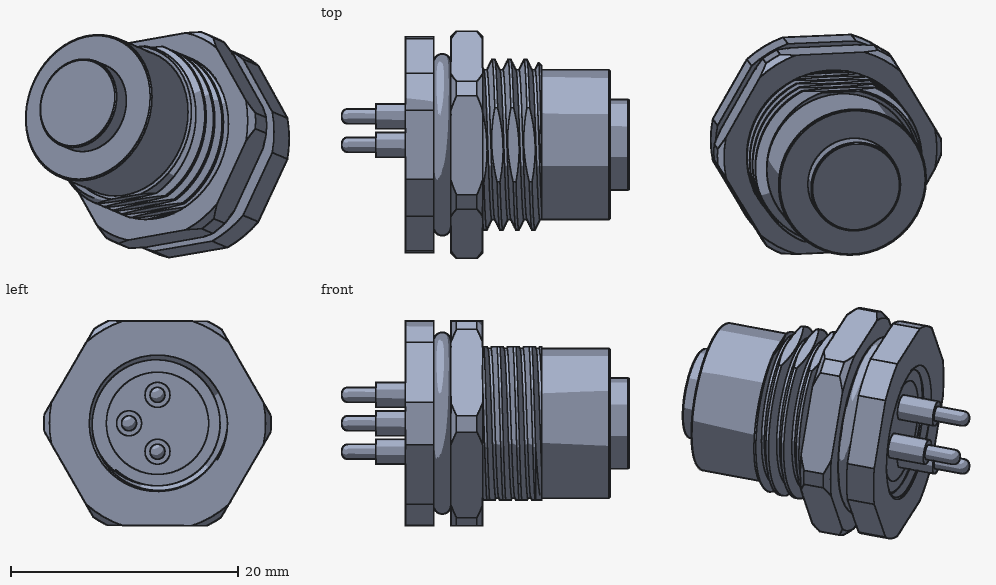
import cadquery as cq
import math


axis_direction = cq.Vector(1, 0, 0)

flange_thickness = 2.5
ring_wire_diameter = 1.5
nut_thickness = 2.8
nut_rear = flange_thickness + ring_wire_diameter
housing_front = 12.0
sleeve_front = 18.0
insert_front = 19.7
backing_face = 0.66
insert_shoulder = housing_front

hex_across_flats = 18.0
flange_corner_radius = 9.5
nut_corner_radius = 10.0
nut_corner_chamfer = 0.5
nut_turn = 0.25

thread_crest_radius = 7.5
thread_root_radius = 6.6
thread_pitch = 25.4 / 18
thread_crest_width = 0.25
thread_root_width = 0.27
thread_flats_apart = 13.5
thread_crest_station = 7.74
thread_end_chamfer = 0.55
helix_guide_radius = thread_root_radius
thread_root_overlap = 0.1

bore_radius = 5.5
bore_mouth_radius = 6.0
groove_radius = 6.16
groove_pitch = 1.0
groove_included_angle = 60.0
groove_inner_radius = 5.3
groove_start = -1.5
groove_turns = 4

ring_outer_radius = 8.0
ring_wire_radius = ring_wire_diameter / 2
ring_centre_radius = ring_outer_radius - ring_wire_radius
neck_radius = ring_outer_radius - ring_wire_diameter

sleeve_radius = thread_root_radius
insert_rear_radius = 4.5
insert_front_radius = 4.0
front_edge_chamfer = 0.12

pin_radius = 0.66
pin_tip_round = 0.55
pin_tip = -5.6
collar_radius = 1.1
collar_rear = -2.6
collar_front = 3.0
pin_circle_radius = 2.5
pin_angles = (0, 90, 270)


def cylinder(radius, start, end):
    """Round bar along the axis from start to end."""
    return cq.Workplane("YZ", origin=(start, 0, 0)).circle(radius).extrude(end - start)


def hexagon_bar(start, end):
    """Hexagonal bar along the axis, with flats facing +Z and -Z."""
    across_corners = hex_across_flats / math.cos(math.radians(30))
    return cq.Workplane("YZ", origin=(start, 0, 0)).polygon(6, across_corners).extrude(end - start)


def helical_bar(profile, pitch, turns, start):
    """Sweep a (radius, offset along the axis) profile along a right-handed helix around X.

    The helix begins on the +Y side at the station `start`.
    """
    path = cq.Workplane(obj=cq.Wire.makeHelix(pitch, turns * pitch, helix_guide_radius))
    about_z = cq.Workplane("XZ").polyline(profile).close().sweep(path, isFrenet=True)
    about_x = about_z.rotate((0, 0, 0), (1, 1, 1), 120)
    return about_x.translate((start, 0, 0))


def make_outer_thread():
    """Thread between the sealing ring and the housing front, with its top and bottom cut flat."""
    length = housing_front - nut_rear
    turns_behind = math.ceil((thread_crest_station - nut_rear) / thread_pitch) + 1
    turns = math.ceil(length / thread_pitch) + 3

    half_crest = thread_crest_width / 2
    half_root = (thread_pitch - thread_root_width) / 2
    flank_run = (half_root - half_crest) / (thread_crest_radius - thread_root_radius)
    half_base = half_root + flank_run * thread_root_overlap
    base_radius = thread_root_radius - thread_root_overlap
    profile = [
        (base_radius, -half_base),
        (thread_crest_radius, -half_crest),
        (thread_crest_radius, half_crest),
        (base_radius, half_base),
    ]
    start = thread_crest_station - turns_behind * thread_pitch
    ridge = helical_bar(profile, thread_pitch, turns, start)

    flatted = cq.Workplane("XY").box(length, 2 * thread_crest_radius, thread_flats_apart)
    flatted = flatted.translate((nut_rear + length / 2, 0, 0))
    rounded = cylinder(thread_crest_radius, nut_rear, housing_front)
    rounded = rounded.faces(">X").chamfer(thread_end_chamfer)
    envelope = rounded.intersect(flatted)
    core = cylinder(thread_root_radius, nut_rear, housing_front)
    return core.union(ridge.intersect(envelope))


def make_cavity():
    """Space inside the housing: a bore with a flared, threaded rear mouth."""
    bore = cylinder(bore_radius, 0, housing_front)
    flare_depth = bore_mouth_radius - bore_radius
    axis_start = cq.Vector(0, 0, 0)
    flare = cq.Workplane(
        cq.Solid.makeCone(bore_mouth_radius, bore_radius, flare_depth, axis_start, axis_direction)
    )

    half_width = (groove_radius - groove_inner_radius) * math.tan(math.radians(groove_included_angle / 2))
    profile = [
        (groove_inner_radius, -half_width),
        (groove_radius, 0),
        (groove_inner_radius, half_width),
    ]
    groove = helical_bar(profile, groove_pitch, groove_turns, groove_start)
    groove = groove.intersect(cylinder(groove_radius, 0, flange_thickness))
    return bore.union(flare).union(groove)


def make_housing(cavity):
    flange = hexagon_bar(0, flange_thickness)
    flange = flange.intersect(cylinder(flange_corner_radius, 0, flange_thickness))
    neck = cylinder(neck_radius, 0, nut_rear)
    return flange.union(neck).union(make_outer_thread()).cut(cavity)


def make_sealing_ring():
    centre = flange_thickness + ring_wire_radius
    centre_point = cq.Vector(centre, 0, 0)
    return cq.Workplane(
        cq.Solid.makeTorus(ring_centre_radius, ring_wire_radius, centre_point, axis_direction)
    )


def make_nut():
    nut_front = nut_rear + nut_thickness
    round_blank = cylinder(nut_corner_radius, nut_rear, nut_front).edges().chamfer(nut_corner_chamfer)
    nut = hexagon_bar(nut_rear, nut_front).intersect(round_blank)
    nut = nut.cut(cylinder(thread_crest_radius, nut_rear, nut_front))
    return nut.rotate((0, 0, 0), (1, 0, 0), nut_turn)


def make_sleeve():
    sleeve = cylinder(sleeve_radius, housing_front, sleeve_front).faces(">X").chamfer(front_edge_chamfer)
    return sleeve.cut(cylinder(insert_front_radius, housing_front, sleeve_front))


def make_pin(angle):
    collar = cylinder(collar_radius, collar_rear, collar_front)
    tip = cylinder(pin_radius, pin_tip, collar_rear).faces("<X").edges().fillet(pin_tip_round)
    pin = collar.union(tip).translate((0, pin_circle_radius, 0))
    return pin.rotate((0, 0, 0), (1, 0, 0), angle)


def make_insert(pins):
    rear = cylinder(insert_rear_radius, backing_face, insert_shoulder)
    front = cylinder(insert_front_radius, insert_shoulder, insert_front)
    front = front.faces(">X").chamfer(front_edge_chamfer)
    insert = rear.union(front)
    for pin in pins:
        insert = insert.cut(pin)
    return insert


def make_backing(cavity):
    """Filling between the insert and the housing, set in from the flange face."""
    filling = cavity.intersect(cylinder(groove_radius, backing_face, housing_front))
    return filling.cut(cylinder(insert_rear_radius, backing_face, housing_front))


cavity = make_cavity()
housing = make_housing(cavity)
sealing_ring = make_sealing_ring()
nut = make_nut()
sleeve = make_sleeve()
pins = [make_pin(angle) for angle in pin_angles]
insert = make_insert(pins)
backing = make_backing(cavity)

bodies = [housing, sealing_ring, nut, sleeve, insert, backing, *pins]
result = cq.Compound.makeCompound([body.solids().val() for body in bodies])